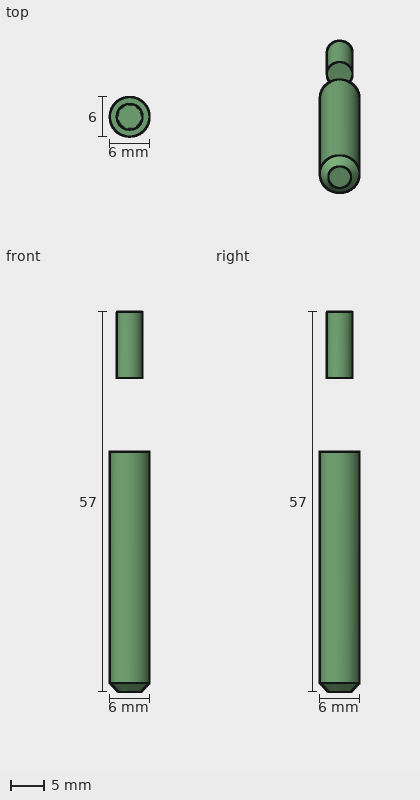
import cadquery as cq

total_height = 57.0

rod_diameter = 6.0
rod_length = 36.0
tip_diameter = 3.4
tip_height = 1.35

pin_diameter = 3.9
pin_length = 10.0
pin_edge_radius = 0.2


def make_rod():
    """Upright round rod with a conical tip at its lower end."""
    rod_radius = rod_diameter / 2
    tip_radius = tip_diameter / 2
    half_profile = [
        (0, 0),
        (tip_radius, 0),
        (rod_radius, tip_height),
        (rod_radius, rod_length),
        (0, rod_length),
    ]
    return cq.Workplane("XZ").polyline(half_profile).close().revolve(360, (0, 0), (0, 1))


def make_pin():
    """Round pin above the rod, with a small rounding around its top edge."""
    pin_bottom = total_height - pin_length
    pin = cq.Workplane("XY", origin=(0, 0, pin_bottom)).circle(pin_diameter / 2).extrude(pin_length)
    return pin.faces(">Z").edges().fillet(pin_edge_radius)


rod = make_rod()
pin = make_pin()

result = cq.Compound.makeCompound([rod.val(), pin.val()])